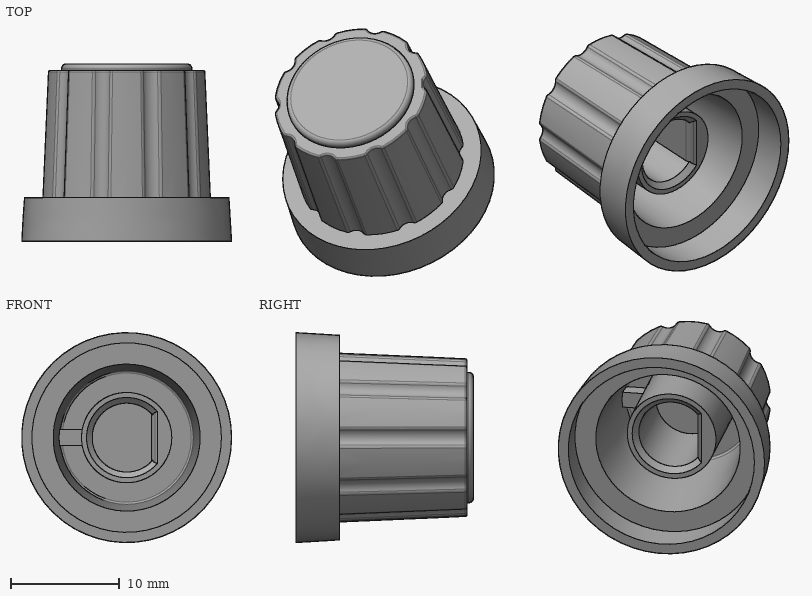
import cadquery as cq
import math


flange_diameter = 19.3
flange_length = 4.01
flange_draft = 3.5

barrel_base_radius = 7.75
barrel_draft = 2.5
barrel_end = 15.71
barrel_edge_fillet = 0.17

groove_count = 10
groove_radius = 1.0
groove_depth = 0.42
groove_edge_fillet = 0.37

cap_diameter = 12.0
knob_length = 16.3
cap_fillet = 0.46

counterbore_diameter = 17.4
counterbore_depth = 3.25
cavity_mouth_radius = 6.75
cavity_floor_radius = 6.12
cavity_depth = 14.67
cavity_floor_fillet = 0.2

boss_diameter = 8.3
boss_face = 5.02
bore_radius = 3.17
bore_chamfer = 0.52
bore_depth = 13.9
flat_offset = 2.3
flat_chamfer = 0.21
flat_lead_radius = 1.05

rib_width = 1.47
rib_face = 13.22


def revolve_about_y(points):
    """Revolve a closed (radius, y) outline about the Y axis."""
    return cq.Workplane("XY").polyline(points).close().revolve(360, (0, 0, 0), (0, 1, 0))


def cylinder(radius, start, end):
    """Cylinder on the Y axis between two y positions."""
    return cq.Workplane("XZ", origin=(0, start, 0)).circle(radius).extrude(start - end)


def frustum(start_radius, end_radius, start, end):
    """Cone frustum on the Y axis between two y positions."""
    return revolve_about_y([(0, start), (start_radius, start), (end_radius, end), (0, end)])


def make_flange():
    base_radius = flange_diameter / 2
    end_radius = base_radius - flange_length * math.tan(math.radians(flange_draft))
    return frustum(base_radius, end_radius, 0, flange_length)


def make_groove_cutter(length):
    """Cylinder leaning with the barrel draft, so that the groove depth stays constant."""
    lean = math.radians(barrel_draft)
    center = barrel_base_radius - groove_depth + groove_radius
    overrun = groove_radius
    axis = cq.Vector(math.sin(lean), math.cos(lean), 0)
    start = cq.Vector(-center, flange_length, 0) - axis * overrun
    return cq.Workplane(cq.Solid.makeCylinder(groove_radius, length + 2 * overrun, start, axis))


def make_barrel():
    length = barrel_end - flange_length
    end_radius = barrel_base_radius - length * math.tan(math.radians(barrel_draft))
    barrel = frustum(barrel_base_radius, end_radius, flange_length, barrel_end)
    cutter = make_groove_cutter(length)
    for index in range(groove_count):
        angle = index * 360 / groove_count
        barrel = barrel.cut(cutter.rotate((0, 0, 0), (0, 1, 0), angle))
    side_edges = barrel.edges("not(<Y or >Y)")
    barrel = side_edges.fillet(groove_edge_fillet)
    return barrel.faces(">Y").edges().fillet(barrel_edge_fillet)


def make_cap():
    return cylinder(cap_diameter / 2, barrel_end, knob_length).faces(">Y").edges().fillet(cap_fillet)


def make_cavity():
    counterbore = cylinder(counterbore_diameter / 2, 0, counterbore_depth)
    cavity = frustum(cavity_mouth_radius, cavity_floor_radius, counterbore_depth, cavity_depth)
    cavity = cavity.faces(">Y").edges().fillet(cavity_floor_fillet)
    return counterbore.union(cavity)


def make_bore():
    """D-shaped shaft hole with a conical lead-in and a rounded lead-in on its flat."""
    mouth_radius = bore_radius + bore_chamfer
    round_bore = revolve_about_y([
        (0, boss_face),
        (mouth_radius, boss_face),
        (bore_radius, boss_face + bore_chamfer),
        (bore_radius, bore_depth),
        (0, bore_depth),
    ])
    arc_angle = math.radians(45)
    half_angle = arc_angle / 2
    arc_start_x = flat_offset + flat_lead_radius * (1 - math.cos(arc_angle))
    arc_start_y = boss_face + flat_chamfer
    arc_end_y = arc_start_y + flat_lead_radius * math.sin(arc_angle)
    arc_middle_x = flat_offset + flat_lead_radius * (1 - math.cos(half_angle))
    arc_middle_y = arc_end_y - flat_lead_radius * math.sin(half_angle)
    flat_limit = (
        cq.Workplane("XY")
        .moveTo(-mouth_radius, boss_face)
        .lineTo(arc_start_x + flat_chamfer, boss_face)
        .lineTo(arc_start_x, arc_start_y)
        .threePointArc((arc_middle_x, arc_middle_y), (flat_offset, arc_end_y))
        .lineTo(flat_offset, bore_depth)
        .lineTo(-mouth_radius, bore_depth)
        .close()
        .extrude(mouth_radius, both=True)
    )
    return round_bore.intersect(flat_limit)


def make_rib():
    """Rib on the -X side, reaching into the boss and the cavity wall."""
    rib_length = cavity_mouth_radius
    rib_height = barrel_end - rib_face
    return (
        cq.Workplane("XY")
        .box(rib_length, rib_height, rib_width, centered=(False, False, True))
        .translate((-rib_length, rib_face, 0))
    )


boss = cylinder(boss_diameter / 2, boss_face, barrel_end)
result = (
    make_flange()
    .union(make_barrel())
    .union(make_cap())
    .cut(make_cavity())
    .union(boss)
    .union(make_rib())
    .cut(make_bore())
)